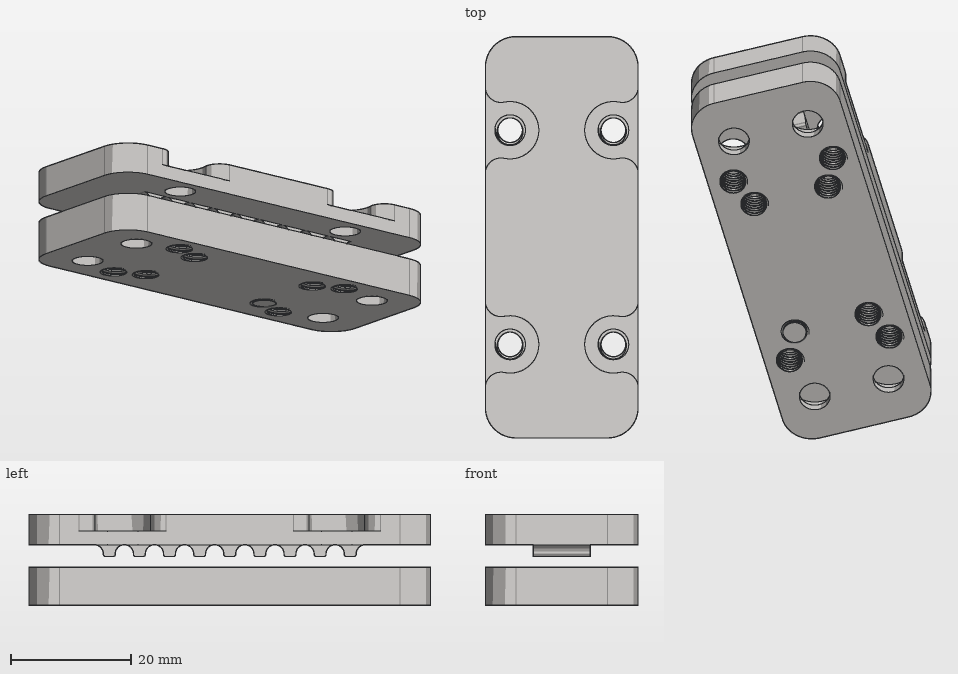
import cadquery as cq
import math


plate_width = 25.4
plate_length = 66.67
corner_radius = 5.08

total_height = 15.1
base_thickness = 6.35
clamp_thickness = 5.08
clamp_bottom = total_height - clamp_thickness

screw_x = 8.573
screw_y = 17.78

mount_x = 6.35
mount_y = 12.7

thread_minor_diameter = 4.06
thread_major_diameter = 4.83
thread_pitch = 25.4 / 32
thread_flank_angle = 30.0
thread_root_flat = thread_pitch / 8
thread_sweep_turns = 10
thread_turns_below_top = 8.75
thread_inner_overlap = 0.1

counterbore_x = 6.35
counterbore_y = 25.4
counterbore_diameter = 9.53
counterbore_depth = 4.83

clearance_diameter = 5.11
pocket_diameter = 9.53
pocket_depth = 2.79
pocket_lip_radius = 2.62

tooth_count = 9
tooth_pitch = 5.0
tooth_width = 9.53
tooth_height = 1.95
tooth_tip_radius = 0.4
tooth_gap_radius = 1.49
tooth_gap_center_depth = 1.47


def mirrored_points(x, y):
    """The four points at plus and minus x and y."""
    return [(side_x * x, side_y * y) for side_x in (-1, 1) for side_y in (-1, 1)]


screw_points = mirrored_points(screw_x, screw_y)
mount_points = mirrored_points(mount_x, mount_y)
counterbore_points = mirrored_points(counterbore_x, counterbore_y)
threaded_points = screw_points + mount_points


def make_plate(bottom, thickness):
    """Rectangular plate with rounded vertical corners."""
    return (
        cq.Workplane("XY", origin=(0, 0, bottom))
        .rect(plate_width, plate_length)
        .extrude(thickness)
        .edges("|Z")
        .fillet(corner_radius)
    )


def make_cylinders(points, diameter, bottom, height):
    """Upright cylinders of one size standing at the given points."""
    return cq.Workplane("XY", origin=(0, 0, bottom)).pushPoints(points).circle(diameter / 2).extrude(height)


def make_thread_groove():
    """Helical groove of the internal thread, centred on the Z axis and running past both plate faces."""
    inner_radius = thread_minor_diameter / 2 - thread_inner_overlap
    outer_radius = thread_major_diameter / 2
    outer_half = thread_root_flat / 2
    inner_half = outer_half + (outer_radius - inner_radius) * math.tan(math.radians(thread_flank_angle))
    helix = cq.Wire.makeHelix(thread_pitch, thread_sweep_turns * thread_pitch, outer_radius)
    groove = (
        cq.Workplane("XZ")
        .moveTo(inner_radius, -inner_half)
        .lineTo(outer_radius, -outer_half)
        .lineTo(outer_radius, outer_half)
        .lineTo(inner_radius, inner_half)
        .close()
        .sweep(cq.Workplane(obj=helix), isFrenet=True)
    )
    return groove.translate((0, 0, base_thickness - thread_turns_below_top * thread_pitch))


def make_base():
    """Lower plate with eight threaded holes and four counterbored corner holes."""
    base = make_plate(0, base_thickness)
    base = base.cut(make_cylinders(counterbore_points, clearance_diameter, 0, base_thickness))
    counterbore_bottom = base_thickness - counterbore_depth
    base = base.cut(make_cylinders(counterbore_points, counterbore_diameter, counterbore_bottom, counterbore_depth))
    groove = make_thread_groove().val()
    grooves = [groove.translate(cq.Vector(x, y, 0)) for x, y in threaded_points]
    base = base.cut(cq.Workplane(cq.Compound.makeCompound(grooves)), clean=False)
    base = base.cut(make_cylinders(threaded_points, thread_minor_diameter, 0, base_thickness), clean=False)
    return base


def make_pocket(x, y):
    """Screw head pocket that opens through the long side of the clamp past two rounded lips."""
    side = math.copysign(1, x)
    edge_x = plate_width / 2
    radius = pocket_diameter / 2
    lip_x = edge_x - pocket_lip_radius
    center_distance = radius + pocket_lip_radius
    lip_dx = lip_x - screw_x
    lip_dy = math.sqrt(center_distance**2 - lip_dx**2)
    join_x = screw_x + lip_dx * radius / center_distance
    join_dy = lip_dy * radius / center_distance
    lip_mid_angle = (math.atan2(lip_dy, lip_dx) - math.pi) / 2
    mid_x = lip_x + pocket_lip_radius * math.cos(lip_mid_angle)
    mid_dy = lip_dy + pocket_lip_radius * math.sin(lip_mid_angle)
    return (
        cq.Workplane("XY", origin=(0, y, total_height - pocket_depth))
        .moveTo(side * edge_x, -lip_dy)
        .threePointArc((side * mid_x, -mid_dy), (side * join_x, -join_dy))
        .threePointArc((side * (screw_x - radius), 0), (side * join_x, join_dy))
        .threePointArc((side * mid_x, mid_dy), (side * edge_x, lip_dy))
        .close()
        .extrude(pocket_depth)
    )


def make_tooth(y):
    """One belt tooth with concave flanks, hanging from the underside of the clamp."""
    r = tooth_gap_radius
    gap_center = tooth_pitch / 2
    root_half = gap_center - math.sqrt(r**2 - tooth_gap_center_depth**2)
    tip_half = gap_center - r
    mid_half = gap_center - r * math.cos(math.pi / 4)
    mid_z = -tooth_gap_center_depth + r * math.sin(math.pi / 4)
    return (
        cq.Workplane("YZ", origin=(-tooth_width / 2, y, clamp_bottom))
        .moveTo(-root_half, 0)
        .threePointArc((-mid_half, mid_z), (-tip_half, -tooth_gap_center_depth))
        .lineTo(-tip_half, -tooth_height)
        .lineTo(tip_half, -tooth_height)
        .lineTo(tip_half, -tooth_gap_center_depth)
        .threePointArc((mid_half, mid_z), (root_half, 0))
        .close()
        .extrude(tooth_width)
        .faces("<Z")
        .edges("|X")
        .fillet(tooth_tip_radius)
    )


def make_clamp():
    """Upper plate with screw holes, head pockets and a row of belt teeth underneath."""
    clamp = make_plate(clamp_bottom, clamp_thickness)
    clamp = clamp.cut(make_cylinders(screw_points, clearance_diameter, clamp_bottom, clamp_thickness))
    for x, y in screw_points:
        clamp = clamp.cut(make_pocket(x, y))
    for index in range(tooth_count):
        clamp = clamp.union(make_tooth((index - (tooth_count - 1) / 2) * tooth_pitch))
    return clamp


base = make_base()
clamp = make_clamp()
result = cq.Compound.makeCompound([base.val(), clamp.val()])